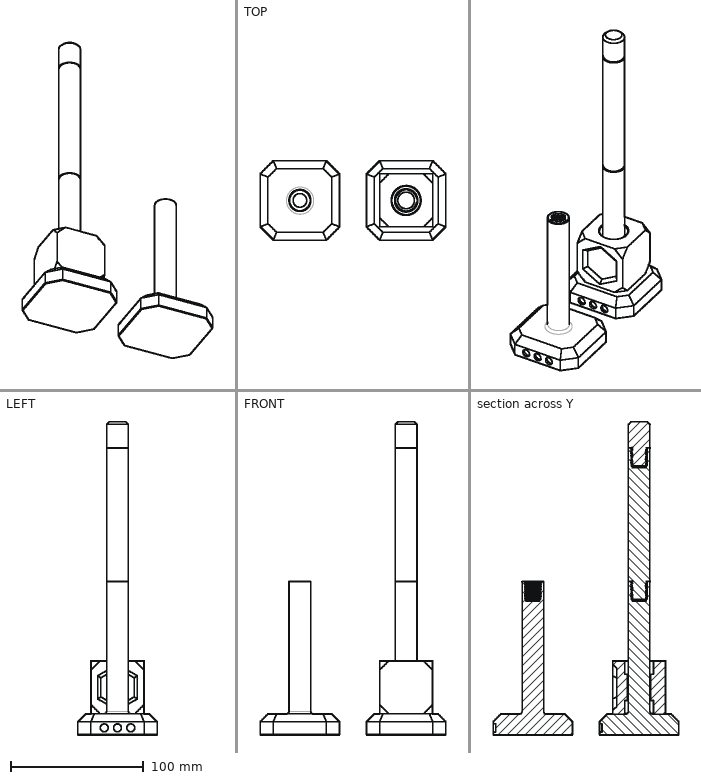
import cadquery as cq
import math

base_width = 60.0
base_height = 16.0
base_corner_cut = 10.0
base_top_chamfer = 6.0
base_bottom_chamfer = 0.5
base_spacing = 80.0

side_hole_diameter = 5.9
side_hole_depth = 2.0
side_hole_count = 3
side_hole_pitch = 10.0
side_hole_height = 5.5

column_radius = 16.5 / 2
foot_fillet = 2.0
post_length = 100.0
rod_length = 100.5
cap_length = 19.5
joint_chamfer = 0.5
cap_chamfer = 2.0
post_top = base_height + post_length
rod_top = post_top + rod_length
cap_top = rod_top + cap_length

stud_ridge_radius = 11.83 / 2
stud_valley_radius = 9.84 / 2
socket_ridge_radius = 12.23 / 2
socket_valley_radius = 10.27 / 2
thread_pitch = 1.75
thread_turns = 8
socket_end_gap = 1.0

cube_size = 40.0
cube_corner_cut = 7.0
cube_bore_diameter = 17.5
cube_counterbore_diameter = 21.5
cube_counterbore_depth = 10.0
cube_mouth_chamfer = 0.5

pocket_mouth_flats = 30
pocket_floor_flats = 25.0
pocket_depth = 3.0

left_x = -base_spacing / 2
right_x = base_spacing / 2


def thread_core(top_z, valley_radius, ridge_radius, end_length):
    """Ridged round core that hangs down from top_z, with a plain length at its end."""
    profile = [(0, top_z), (valley_radius, top_z)]
    for turn in range(thread_turns):
        turn_z = top_z - turn * thread_pitch
        profile.append((ridge_radius, turn_z - thread_pitch / 2))
        profile.append((valley_radius, turn_z - thread_pitch))
    bottom_z = top_z - thread_turns * thread_pitch - end_length
    if end_length > 0:
        profile.append((valley_radius, bottom_z))
    profile.append((0, bottom_z))
    return cq.Workplane("XZ").polyline(profile).close().revolve(360, (0, 0, 0), (0, 1, 0))


def stud(top_z):
    """Male thread below a column end."""
    return thread_core(top_z, stud_valley_radius, stud_ridge_radius, 0)


def socket(top_z):
    """Space of a female thread sunk into a column end."""
    return thread_core(top_z, socket_valley_radius, socket_ridge_radius, socket_end_gap)


def column_section(bottom_z, top_z, top_chamfer):
    """Round column with a chamfered top edge."""
    section = cq.Workplane("XY").workplane(offset=bottom_z).circle(column_radius).extrude(top_z - bottom_z)
    return section.faces(">Z").chamfer(top_chamfer)


def foot_flare():
    """Round flare whose concave arc blends the post into the top of the base."""
    blend_top = base_height + foot_fillet
    arc_inset = foot_fillet * (1 - math.sqrt(0.5))
    return (
        cq.Workplane("XZ")
        .moveTo(0, base_height)
        .lineTo(column_radius + foot_fillet, base_height)
        .threePointArc((column_radius + arc_inset, base_height + arc_inset), (column_radius, blend_top))
        .lineTo(0, blend_top)
        .close()
        .revolve(360, (0, 0, 0), (0, 1, 0))
    )


def make_base(center_x):
    """Chamfered square foot with a flared post, a threaded socket and three side holes."""
    foot = (
        cq.Workplane("XY")
        .rect(base_width, base_width)
        .extrude(base_height)
        .edges("|Z")
        .chamfer(base_corner_cut)
        .faces(">Z")
        .chamfer(base_top_chamfer)
        .faces("<Z")
        .chamfer(base_bottom_chamfer)
    )
    side_holes = (
        cq.Workplane("YZ")
        .workplane(offset=-base_width / 2)
        .center(0, side_hole_height)
        .rarray(side_hole_pitch, 1, side_hole_count, 1)
        .circle(side_hole_diameter / 2)
        .extrude(side_hole_depth)
    )
    post = column_section(base_height, post_top, joint_chamfer)
    base = foot.cut(side_holes).union(post).union(foot_flare()).cut(socket(post_top))
    return base.translate((center_x, 0, 0))


def make_rod(center_x):
    """Extension rod with a stud below and a socket in its top end."""
    rod = column_section(post_top, rod_top, joint_chamfer)
    rod = rod.union(stud(post_top)).cut(socket(rod_top))
    return rod.translate((center_x, 0, 0))


def make_cap(center_x):
    """Chamfered end cap with a stud below."""
    cap = column_section(rod_top, cap_top, cap_chamfer)
    return cap.union(stud(rod_top)).translate((center_x, 0, 0))


def cube_corner(sign_x, sign_y, sign_z):
    """Tetrahedron that takes one corner off a cube centred on the origin."""
    half = cube_size / 2
    tip = cq.Vector(sign_x * half, sign_y * half, sign_z * half)
    along_x = tip - cq.Vector(sign_x * cube_corner_cut, 0, 0)
    along_y = tip - cq.Vector(0, sign_y * cube_corner_cut, 0)
    along_z = tip - cq.Vector(0, 0, sign_z * cube_corner_cut)
    triangles = [
        (tip, along_x, along_y),
        (tip, along_y, along_z),
        (tip, along_z, along_x),
        (along_x, along_y, along_z),
    ]
    faces = [cq.Face.makeFromWires(cq.Wire.makePolygon(list(points), close=True)) for points in triangles]
    return cq.Workplane(cq.Solid.makeSolid(cq.Shell.makeShell(faces)))


def hexagon_pocket():
    """Tapered hexagon, one corner up, that narrows toward the pocket floor."""
    mouth_diameter = pocket_mouth_flats / math.cos(math.pi / 6)
    wall_run = (pocket_mouth_flats - pocket_floor_flats) / 2
    wall_angle = math.degrees(math.atan2(wall_run, pocket_depth))
    return (
        cq.Workplane("YZ")
        .workplane(offset=-cube_size / 2)
        .transformed(rotate=(0, 0, 30))
        .polygon(6, mouth_diameter)
        .extrude(pocket_depth, taper=wall_angle)
    )


def make_cube(center_x):
    """Cube with clipped corners, a counterbored bore and a hexagonal pocket."""
    cube = cq.Workplane("XY").box(cube_size, cube_size, cube_size)
    for face in (">Z", "<Z"):
        cube = (
            cube.faces(face)
            .workplane()
            .cboreHole(cube_bore_diameter, cube_counterbore_diameter, cube_counterbore_depth)
        )
    cube = cube.faces("<Z or >Z").edges("%CIRCLE").chamfer(cube_mouth_chamfer)
    for sign_x in (-1, 1):
        for sign_y in (-1, 1):
            for sign_z in (-1, 1):
                cube = cube.cut(cube_corner(sign_x, sign_y, sign_z))
    cube = cube.cut(hexagon_pocket())
    return cube.translate((center_x, 0, base_height + cube_size / 2))


bases = [make_base(center_x) for center_x in (left_x, right_x)]
rod = make_rod(right_x)
cap = make_cap(right_x)
cube = make_cube(right_x)

result = cq.Compound.makeCompound([*[base.val() for base in bases], cube.val(), rod.val(), cap.val()])